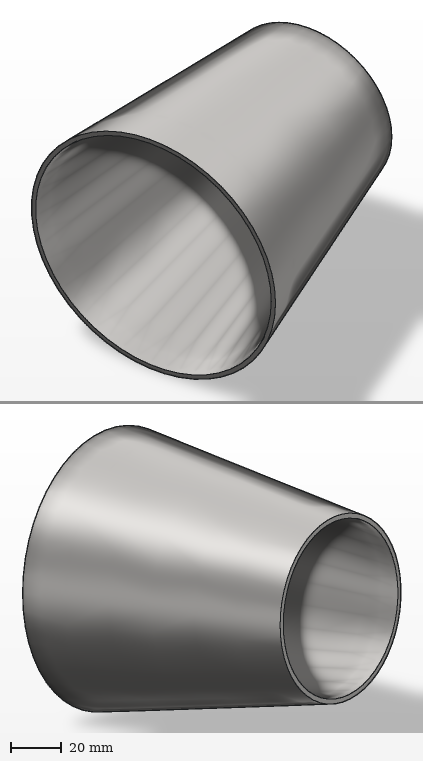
import cadquery as cq

length = 115.0
large_outer_diameter = 114.3
small_outer_diameter = 76.1
wall = 2.0

large_outer_radius = large_outer_diameter / 2
small_outer_radius = small_outer_diameter / 2


def reducer_shell():
    """Revolve the sloping wall section around the Y axis, large end at Y = 0."""
    section = [
        (large_outer_radius - wall, 0),
        (large_outer_radius, 0),
        (small_outer_radius, length),
        (small_outer_radius - wall, length),
    ]
    return cq.Workplane("XY").polyline(section).close().revolve(360, (0, 0, 0), (0, 1, 0))


result = reducer_shell()